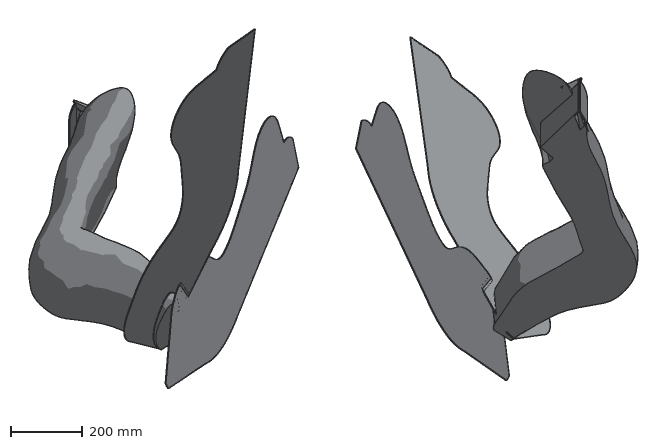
import cadquery as cq
import math


PANEL_THICKNESS = 3.0

BACK_CORNER = (0.0, 0.0)
HIP_CORNER = (-1.0, 120.0)
HIP_STEP = [(22.0, 148.0), (57.0, 164.0)]
FRONT_CURVE = [
    (62.0, 215.0),
    (85.0, 300.0),
    (170.0, 343.0),
    (230.0, 329.0),
    (300.0, 283.0),
    (400.0, 247.0),
    (530.0, 221.0),
    (580.0, 233.0),
    (640.0, 303.0),
    (710.0, 365.0),
    (780.0, 393.0),
    (860.0, 410.0),
    (905.0, 399.0),
    (945.0, 362.0),
]
TIP_FRONT = (1054.5, 214.0)
TIP_BACK = (1046.0, 184.0)
ELBOW_START = (790.0, 20.0)
ELBOW_CURVE = [(700.0, -28.0), (620.0, -44.0), (540.0, -41.0)]

UPRIGHT_CORNER = (258.5, 65.5, 983.3)
UPRIGHT_TURN = 7.9
UPRIGHT_DROP = 77.8

LOWER_CORNER = (-41.0, 512.5, -217.0)
LOWER_TURN = 27.9
LOWER_LEAN = 8.4

SECTION_ARCH = [
    (0.0, 0.40),
    (0.07, 0.61),
    (0.20, 0.75),
    (0.45, 0.93),
    (0.75, 1.0),
    (0.93, 0.90),
    (1.0, 0.50),
    (0.98, 0.0),
]

ARCH_PARAMETERS = [0.0, 0.17, 0.26, 0.33, 0.44, 0.55, 0.62, 0.79, 1.0]

STATIONS = [
    ((-391.0, -35.0), (-222.0, -42.0), 260.0, 0.45, 0.02),
    ((-357.0, -75.0), (-194.0, -42.0), 250.0, 0.15, 0.02),
    ((-312.0, -148.0), (-168.0, -92.0), 227.0, 0.03, 0.02),
    ((-263.0, -223.0), (-138.0, -154.0), 210.0, 0.0, 0.02),
    ((-157.0, -376.0), (-82.0, -260.0), 205.0, 0.0, 0.02),
    ((-85.0, -480.0), (-50.0, -304.0), 206.0, 0.0, 0.02),
    ((0.0, -501.0), (-32.0, -312.0), 211.0, 0.0, 0.03),
    ((63.0, -489.0), (25.0, -298.0), 218.0, 0.0, 0.06),
    ((140.0, -445.0), (112.0, -272.0), 221.0, 0.0, 0.14),
    ((197.0, -424.0), (190.0, -262.0), 216.0, 0.0, 0.19),
    ((254.0, -405.0), (256.0, -275.0), 203.0, 0.0, 0.22),
    ((315.0, -386.0), (319.0, -288.0), 185.0, 0.0, 0.24),
    ((328.0, -381.0), (331.0, -299.0), 166.0, 0.0, 0.24),
]

FLANGE_THICKNESS = 4.0
FLANGE_CORNER = (-421.0, 11.0)
EAR_INNER_Y = FLANGE_CORNER[1] - FLANGE_THICKNESS
HIP_FOOT = [
    FLANGE_CORNER,
    (FLANGE_CORNER[0], EAR_INNER_Y),
    (-395.0, EAR_INNER_Y),
    (-355.0, -55.0),
    (-240.0, -55.0),
    (-250.0, FLANGE_CORNER[1]),
]
HIP_FOOT_HEIGHT = 130.0

FLANGE_HEIGHT = 146.0
HOOK_END = (-399.0, -37.0)
HOOK_END_RADIUS = 30.0
FLARE_DEPTH = 20.0
FLARE_BOTTOM = [(-420.0, 8.5), (-365.0, 10.0), (-365.0, 3.0), (-418.0, 5.5)]
FLARE_TOP = [(-426.7, 9.0), (-365.0, 32.0), (-365.0, 20.0), (-424.0, 4.0)]


def panel(corner, u_direction, normal):
    """Flat panel with its back corner at `corner`, centred on its plane."""
    plane = cq.Plane(origin=corner, xDir=u_direction, normal=normal)
    return (
        cq.Workplane(plane)
        .moveTo(*BACK_CORNER)
        .lineTo(*HIP_CORNER)
        .spline(HIP_STEP, includeCurrent=True)
        .spline(FRONT_CURVE, includeCurrent=True)
        .lineTo(*TIP_FRONT)
        .lineTo(*TIP_BACK)
        .lineTo(*ELBOW_START)
        .spline(ELBOW_CURVE, includeCurrent=True)
        .close()
        .extrude(PANEL_THICKNESS / 2, both=True)
    )


def upright_panel():
    turn = math.radians(UPRIGHT_TURN)
    drop = math.radians(UPRIGHT_DROP)
    level = cq.Vector(math.sin(turn), -math.cos(turn), 0)
    up = cq.Vector(0, 0, 1)
    u_direction = level * math.cos(drop) - up * math.sin(drop)
    return panel(UPRIGHT_CORNER, u_direction, level.cross(up))


def lower_panel():
    turn = math.radians(LOWER_TURN)
    lean = math.radians(LOWER_LEAN)
    level = cq.Vector(math.sin(turn), -math.cos(turn), 0)
    outward = level.cross(cq.Vector(0, 0, 1))
    normal = outward * math.cos(lean) - cq.Vector(0, 0, math.sin(lean))
    return panel(LOWER_CORNER, level, normal)


def limb_section(outer, inner, height, lean, tuck):
    """Closed planar section: an arched spline over a straight foot."""
    points = []
    for across, rise in [(tuck, 0.0), *SECTION_ARCH]:
        z = rise * height
        x = outer[0] + across * (inner[0] - outer[0])
        y = outer[1] + across * (inner[1] - outer[1]) + lean * z
        points.append(cq.Vector(x, y, z))
    arch = cq.Edge.makeSpline(points, parameters=ARCH_PARAMETERS)
    foot = cq.Edge.makeLine(points[-1], points[0])
    return cq.Wire.assembleEdges([arch, foot])


def limb():
    sections = [limb_section(*station) for station in STATIONS]
    return cq.Workplane(cq.Solid.makeLoft(sections))


def hip_foot():
    return cq.Workplane().polyline(HIP_FOOT).close().extrude(HIP_FOOT_HEIGHT)


def hook():
    run = cq.Vector(FLANGE_CORNER[0] - HOOK_END[0], FLANGE_CORNER[1] - HOOK_END[1], 0)
    plane = cq.Plane(origin=(*HOOK_END, 0), xDir=run, normal=run.cross(cq.Vector(0, 0, 1)))
    strip = cq.Workplane(plane).rect(run.Length, FLANGE_HEIGHT, centered=False).extrude(FLANGE_THICKNESS)
    free_corner = cq.selectors.NearestToPointSelector((*HOOK_END, FLANGE_HEIGHT))
    return strip.edges(free_corner).fillet(HOOK_END_RADIUS)


def flare():
    return (
        cq.Workplane()
        .workplane(offset=FLANGE_HEIGHT - FLARE_DEPTH)
        .polyline(FLARE_BOTTOM)
        .close()
        .workplane(offset=FLARE_DEPTH)
        .polyline(FLARE_TOP)
        .close()
        .loft(ruled=True)
    )


result = limb().union(hip_foot()).union(hook()).union(flare()).union(upright_panel()).union(lower_panel())